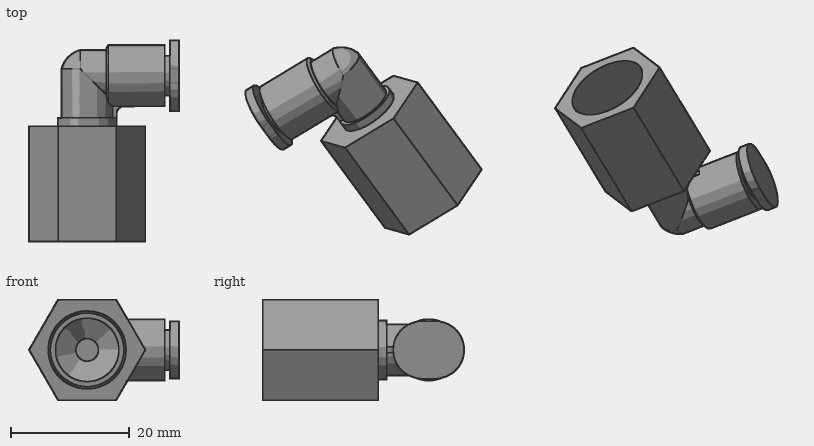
import cadquery as cq
import math


HEX_FLATS = 17.0
HEX_LENGTH = 19.5
HEX_TOP_Y = -8.5
HEX_BOTTOM_Y = HEX_TOP_Y - HEX_LENGTH
HEX_CORNERS = HEX_FLATS / math.cos(math.pi / 6)

BORE_MOUTH_DIA = 13.157
BORE_TAPER = 1 / 16
BORE_DEPTH = 12.0
BORE_END_DIA = BORE_MOUTH_DIA - BORE_TAPER * BORE_DEPTH
CONE_DIA = 10.7
CONE_TIP_DIA = 3.8
CONE_DEPTH = 2.0

COLLAR_DIA = 10.0
COLLAR_TOP_Y = -7.1

ELBOW_DIA = 8.7
ELBOW_RADIUS = ELBOW_DIA / 2
CORNER_SPHERE_RADIUS = 4.5
CORNER_OFFSET = math.sqrt(CORNER_SPHERE_RADIUS**2 - ELBOW_RADIUS**2)

SLEEVE_DIA = 10.4
SLEEVE_START_X = 3.2
SLEEVE_END_X = 13.1
CHAMFER_LENGTH = 0.4
CHAMFER_DEPTH = 0.6

NECK_DIA = 6.8
FLANGE_START_X = 13.95
FLANGE_END_X = 15.5
FLANGE_WIDTH = 12.0
FLANGE_HEIGHT = 9.7

RIB_THICKNESS = 1.0
RIB_FILLET = 1.2


def rod_x(diameter, start, end):
    """Round rod along X."""
    return cq.Workplane("YZ").workplane(offset=start).circle(diameter / 2).extrude(end - start)


def rod_y(diameter, start, end):
    """Round rod along Y."""
    return cq.Workplane("XZ").workplane(offset=-end).circle(diameter / 2).extrude(end - start)


def prism_z(points, height):
    """Prism over an XY outline, centred on Z = 0."""
    return cq.Workplane("XY").polyline(points).close().extrude(height / 2, both=True)


def make_nut():
    blank = (
        cq.Workplane("XZ").workplane(offset=-HEX_TOP_Y).polygon(6, HEX_CORNERS).extrude(HEX_LENGTH)
    )
    bore_end_y = HEX_BOTTOM_Y + BORE_DEPTH
    cone_tip_y = bore_end_y + CONE_DEPTH
    bore_profile = [
        (0, HEX_BOTTOM_Y),
        (BORE_MOUTH_DIA / 2, HEX_BOTTOM_Y),
        (BORE_END_DIA / 2, bore_end_y),
        (CONE_DIA / 2, bore_end_y),
        (CONE_TIP_DIA / 2, cone_tip_y),
        (0, cone_tip_y),
    ]
    bore = cq.Workplane("XY").polyline(bore_profile).close().revolve(360, (0, 0, 0), (0, 1, 0))
    return blank.cut(bore)


def make_elbow():
    """Two round legs mitred at the origin, with a spherical outer corner."""
    r = ELBOW_RADIUS
    c = CORNER_OFFSET
    y_leg_outline = [(-r, COLLAR_TOP_Y), (r, COLLAR_TOP_Y), (r, -r), (-c, c), (-r, c)]
    x_leg_outline = [(SLEEVE_START_X, r), (SLEEVE_START_X, -SLEEVE_START_X), (-c, c), (-c, r)]
    y_leg = rod_y(ELBOW_DIA, COLLAR_TOP_Y, r).intersect(prism_z(y_leg_outline, ELBOW_DIA))
    x_leg = rod_x(ELBOW_DIA, -r, SLEEVE_START_X).intersect(prism_z(x_leg_outline, ELBOW_DIA))

    s = CORNER_SPHERE_RADIUS
    corner_outline = [(-c, c), (-s, c), (-s, s), (-c, s)]
    corner = cq.Workplane("XY").sphere(s).intersect(prism_z(corner_outline, 2 * s))
    return y_leg.union(x_leg).union(corner)


def make_sleeve():
    radius = SLEEVE_DIA / 2
    profile = [
        (SLEEVE_START_X, 0),
        (SLEEVE_START_X, radius - CHAMFER_DEPTH),
        (SLEEVE_START_X + CHAMFER_LENGTH, radius),
        (SLEEVE_END_X, radius),
        (SLEEVE_END_X, 0),
    ]
    return cq.Workplane("XY").polyline(profile).close().revolve(360, (0, 0, 0), (1, 0, 0))


def make_release_ring():
    neck = rod_x(NECK_DIA, SLEEVE_END_X, FLANGE_START_X)
    flange = (
        cq.Workplane("YZ")
        .workplane(offset=FLANGE_START_X)
        .slot2D(FLANGE_WIDTH, FLANGE_HEIGHT)
        .extrude(FLANGE_END_X - FLANGE_START_X)
    )
    return neck.union(flange)


def make_rib():
    """Thin web flush with the collar, blended into the underside of the sleeve."""
    outer_x = COLLAR_DIA / 2
    sleeve_y = -SLEEVE_DIA / 2
    root_y = sleeve_y + RIB_FILLET
    fillet_end_x = outer_x + RIB_FILLET
    fillet_middle = RIB_FILLET * (1 - math.sqrt(0.5))
    return (
        cq.Workplane("XY")
        .moveTo(0, COLLAR_TOP_Y)
        .lineTo(outer_x, COLLAR_TOP_Y)
        .lineTo(outer_x, sleeve_y - RIB_FILLET)
        .threePointArc((outer_x + fillet_middle, sleeve_y - fillet_middle), (fillet_end_x, sleeve_y))
        .lineTo(fillet_end_x, root_y)
        .lineTo(0, root_y)
        .close()
        .extrude(RIB_THICKNESS / 2, both=True)
    )


collar = rod_y(COLLAR_DIA, HEX_TOP_Y, COLLAR_TOP_Y)

result = (
    make_nut()
    .union(collar)
    .union(make_elbow())
    .union(make_sleeve())
    .union(make_release_ring())
    .union(make_rib())
)